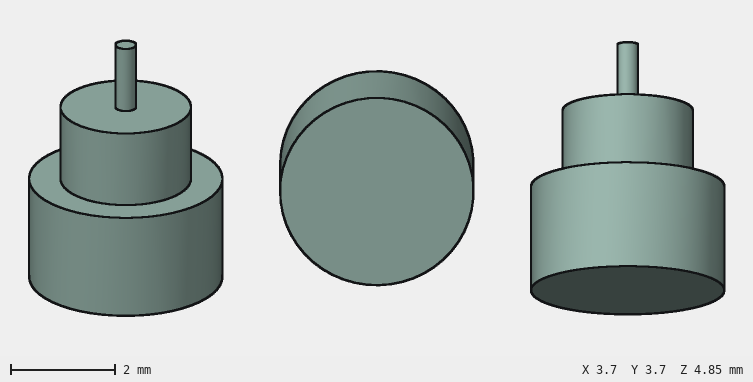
import cadquery as cq

total_height = 4.85
base_diameter = 3.7
base_height = 2.05
collar_diameter = 2.5
collar_height = 1.5
pin_diameter = 0.4

pin_height = total_height - base_height - collar_height


def add_coaxial_step(body, diameter, height):
    """Stack a centred cylinder on the top face of the body."""
    return body.faces(">Z").workplane().circle(diameter / 2).extrude(height)


base = cq.Workplane("XY").circle(base_diameter / 2).extrude(base_height)

base_with_collar = add_coaxial_step(base, collar_diameter, collar_height)
result = add_coaxial_step(base_with_collar, pin_diameter, pin_height)